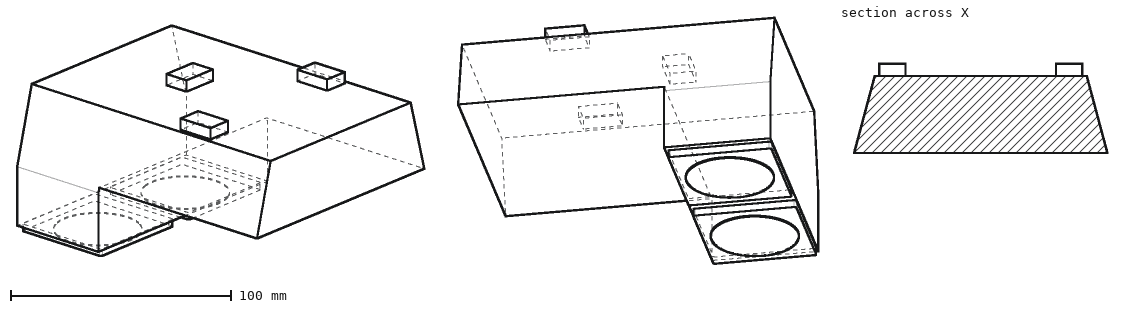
import cadquery as cq

body_length = 144.0
body_width = 115.98
top_width = 96.0
body_height = 66.0
taper_height = 37.3
plate_thickness = 35.0
leg_length = 49.0

pad_length = 18.0
pad_width = 12.0
pad_height = 5.5
front_pad_x = 53.0
rear_pad_x = 97.0
rear_pad_y = 40.0

foot_length = 47.5
foot_width = 49.5
foot_height = 3.5
foot_corner_radius = 1.0
foot_x = 24.0
foot_y = 30.0
disc_diameter = 40.02
disc_height = 0.5


def make_body():
    """Tapered block along X, cut away below the plate behind the leg."""
    half_width = body_width / 2
    half_top = top_width / 2
    shoulder_z = body_height - taper_height
    block = (
        cq.Workplane("YZ")
        .polyline([
            (-half_width, 0),
            (half_width, 0),
            (half_width, shoulder_z),
            (half_top, body_height),
            (-half_top, body_height),
            (-half_width, shoulder_z),
        ])
        .close()
        .extrude(body_length)
    )
    clearance = cq.Workplane("XY").box(
        body_length - leg_length,
        body_width,
        body_height - plate_thickness,
        centered=(False, True, False),
    )
    return block.cut(clearance.translate((leg_length, 0, 0)))


def make_top_pad(x, y, size_x, size_y):
    """Rectangular pad standing on the top face, centred on (x, y)."""
    pad = cq.Workplane("XY").box(size_x, size_y, pad_height, centered=(True, True, False))
    return pad.translate((x, y, body_height))


def make_foot(y):
    """Rounded rectangular foot hanging below the leg, with a disc under it."""
    foot = (
        cq.Workplane("XY")
        .rect(foot_length, foot_width)
        .extrude(-foot_height)
        .edges("|Z")
        .fillet(foot_corner_radius)
    )
    disc = (
        cq.Workplane("XY")
        .workplane(offset=-foot_height)
        .circle(disc_diameter / 2)
        .extrude(-disc_height)
    )
    return foot.union(disc).translate((foot_x, y, 0))


result = make_body()
result = result.union(make_top_pad(front_pad_x, 0, pad_width, pad_length))
for side in (-1, 1):
    result = result.union(make_top_pad(rear_pad_x, side * rear_pad_y, pad_length, pad_width))
    result = result.union(make_foot(side * foot_y))